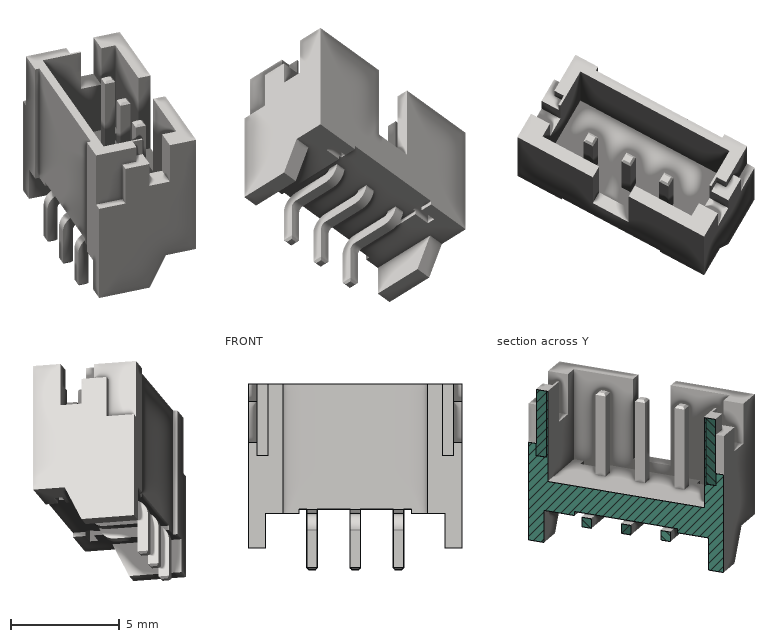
import cadquery as cq
import math


LENGTH = 9.9
DEPTH = 4.8
HEIGHT = 8.6
HALF_LENGTH = LENGTH / 2
BODY_HEIGHT = 6.0
BODY_BOTTOM = HEIGHT - BODY_HEIGHT

CAVITY_LENGTH = 7.9
WALL = 0.6
CAVITY_DEPTH = 4.5
CAVITY_FLOOR = HEIGHT - CAVITY_DEPTH
CAVITY_WIDTH = DEPTH - 2 * WALL

FOOT_WIDTH = 0.8
FOOT_HEIGHT = 1.6
FOOT_BOTTOM = BODY_BOTTOM - FOOT_HEIGHT
FOOT_DEPTH = 2.5
FOOT_ROOT_DEPTH = 3.3

BACK_NOTCH_WIDTH = 1.9
BACK_NOTCH_DEPTH = 4.0
SIDE_NOTCH_START = FOOT_DEPTH
SIDE_NOTCH_WIDTH = 1.0
SIDE_NOTCH_DEPTH = 2.0
FRONT_RELIEF_LENGTH = 6.7
FRONT_RELIEF_DEPTH = 0.2
BASE_RELIEF_LENGTH = 5.2
BASE_RELIEF_HEIGHT = 0.2
BASE_RELIEF_TOP = BODY_BOTTOM + BASE_RELIEF_HEIGHT
FLOOR_HOLE_LENGTH = 1.0
FLOOR_HOLE_WIDTH = 0.4
FLOOR_HOLE_OFFSET = 2.95

TAB_THICKNESS = 0.5
TAB_DEPTH = 2.0
TAB_HEIGHT = 3.3
LINER_WALL = 0.1
TAB_INNER_X = CAVITY_LENGTH / 2 + LINER_WALL
SHOULDER_WIDTH = HALF_LENGTH - TAB_INNER_X
UPPER_SHOULDER_DEPTH = 0.8
LOWER_SHOULDER_DEPTH = 2.7
LOWER_SHOULDER_WIDTH = 1.3

PIN_COUNT = 3
PIN_PITCH = 2.0
PIN_SIZE = 0.5
PIN_TIP_RECESS = 0.4
PIN_TOP = HEIGHT - PIN_TIP_RECESS
PIN_FRONT = 2.85
PIN_TIP_CHAMFER = 0.1
BEND_INNER_RADIUS = 0.25
BEND_OUTER_RADIUS = BEND_INNER_RADIUS + PIN_SIZE
JOG_TOP = BODY_BOTTOM
JOG_BOTTOM = JOG_TOP - PIN_SIZE
PIN_XS = [(i - (PIN_COUNT - 1) / 2) * PIN_PITCH for i in range(PIN_COUNT)]

SIDES = (-1, 1)


def box(x_center, x_size, y_start, y_size, z_bottom, z_top):
    """Block centred on x_center, starting at y_start, between two heights."""
    return (
        cq.Workplane("XY", origin=(x_center, y_start + y_size / 2, z_bottom))
        .rect(x_size, y_size)
        .extrude(z_top - z_bottom)
    )


def foot(side):
    """Foot below one end of the shell, with a sloped back edge."""
    outline = [
        (0, BODY_BOTTOM),
        (0, FOOT_BOTTOM),
        (FOOT_DEPTH, FOOT_BOTTOM),
        (FOOT_ROOT_DEPTH, BODY_BOTTOM),
    ]
    x_start = min(side * HALF_LENGTH, side * (HALF_LENGTH - FOOT_WIDTH))
    return cq.Workplane("YZ", origin=(x_start, 0, 0)).polyline(outline).close().extrude(FOOT_WIDTH)


def solder_tab(side):
    """Flat tab flush with the board plane and with the mating face."""
    x_center = side * (TAB_INNER_X + TAB_THICKNESS / 2)
    return box(x_center, TAB_THICKNESS, 0, TAB_DEPTH, HEIGHT - TAB_HEIGHT, HEIGHT)


def cut_end(shell, side):
    """Cut the side notch, the stepped shoulder, the tab slot and the floor hole at one end."""
    wall_width = HALF_LENGTH - CAVITY_LENGTH / 2
    wall_center = side * (HALF_LENGTH - wall_width / 2)
    shoulder_center = side * (HALF_LENGTH - SHOULDER_WIDTH / 2)
    side_notch = box(
        wall_center, wall_width, SIDE_NOTCH_START, SIDE_NOTCH_WIDTH, HEIGHT - SIDE_NOTCH_DEPTH, HEIGHT
    )
    upper_shoulder = box(
        shoulder_center, SHOULDER_WIDTH, 0, SIDE_NOTCH_START, HEIGHT - UPPER_SHOULDER_DEPTH, HEIGHT
    )
    lower_shoulder = box(
        shoulder_center, SHOULDER_WIDTH, 0, LOWER_SHOULDER_WIDTH, HEIGHT - LOWER_SHOULDER_DEPTH, HEIGHT
    )
    floor_hole = box(
        side * FLOOR_HOLE_OFFSET,
        FLOOR_HOLE_LENGTH,
        DEPTH - WALL - FLOOR_HOLE_WIDTH,
        FLOOR_HOLE_WIDTH,
        BODY_BOTTOM,
        CAVITY_FLOOR,
    )
    for cutter in (side_notch, upper_shoulder, lower_shoulder, solder_tab(side), floor_hole):
        shell = shell.cut(cutter)
    return shell


def make_housing():
    """Open-topped shell with feet, reliefs, tab slots and pin holes."""
    shell = box(0, LENGTH, 0, DEPTH, BODY_BOTTOM, HEIGHT)
    for side in SIDES:
        shell = shell.union(foot(side))

    cavity = box(0, CAVITY_LENGTH, WALL, CAVITY_WIDTH, CAVITY_FLOOR, HEIGHT)
    back_notch = box(0, BACK_NOTCH_WIDTH, DEPTH - WALL, WALL, HEIGHT - BACK_NOTCH_DEPTH, HEIGHT)
    front_relief = box(0, FRONT_RELIEF_LENGTH, 0, FRONT_RELIEF_DEPTH, BODY_BOTTOM, HEIGHT)
    base_relief = box(0, BASE_RELIEF_LENGTH, 0, DEPTH, BODY_BOTTOM, BASE_RELIEF_TOP)
    for cutter in (cavity, back_notch, front_relief, base_relief):
        shell = shell.cut(cutter)

    for side in SIDES:
        shell = cut_end(shell, side)
    for x in PIN_XS:
        shell = shell.cut(make_pin(x))
    return shell


def make_pin(x_center):
    """Square pin that jogs forward below the shell so that its tail lies on the board plane."""
    pin_back = PIN_FRONT + PIN_SIZE
    diagonal = math.cos(math.radians(45))
    tail_y = BEND_OUTER_RADIUS
    tail_z = JOG_TOP - BEND_OUTER_RADIUS
    rise_y = PIN_FRONT - BEND_INNER_RADIUS
    rise_z = JOG_TOP + BEND_INNER_RADIUS
    outer_offset = BEND_OUTER_RADIUS * diagonal
    inner_offset = BEND_INNER_RADIUS * diagonal
    pin = (
        cq.Workplane("YZ", origin=(x_center - PIN_SIZE / 2, 0, 0))
        .moveTo(0, 0)
        .lineTo(0, tail_z)
        .threePointArc((tail_y - outer_offset, tail_z + outer_offset), (tail_y, JOG_TOP))
        .lineTo(rise_y, JOG_TOP)
        .threePointArc((rise_y + inner_offset, rise_z - inner_offset), (PIN_FRONT, rise_z))
        .lineTo(PIN_FRONT, PIN_TOP)
        .lineTo(pin_back, PIN_TOP)
        .lineTo(pin_back, rise_z)
        .threePointArc((rise_y + outer_offset, rise_z - outer_offset), (rise_y, JOG_BOTTOM))
        .lineTo(tail_y, JOG_BOTTOM)
        .threePointArc((tail_y - inner_offset, tail_z + inner_offset), (PIN_SIZE, tail_z))
        .lineTo(PIN_SIZE, 0)
        .close()
        .extrude(PIN_SIZE)
    )
    return pin.faces("<Z or >Z").chamfer(PIN_TIP_CHAMFER)


housing = make_housing()
pins = [make_pin(x) for x in PIN_XS]
solder_tabs = [solder_tab(side) for side in SIDES]

result = cq.Compound.makeCompound(
    [
        housing.val(),
        *[pin.val() for pin in pins],
        *[tab.val() for tab in solder_tabs],
    ]
)